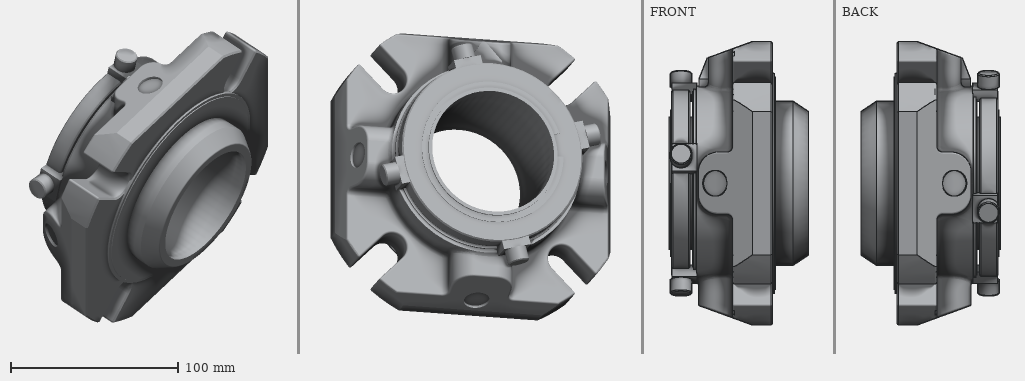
import cadquery as cq
import math

TOTAL_LENGTH = 83.5
QUARTER_TURNS = (0, 90, 180, 270)
DIAGONAL_ANGLE = 45

FLANGE_WIDTH = 169.5
FLANGE_CORNER_RADIUS = 94.9
FLANGE_FRONT_X = 38.1
FLANGE_BACK_X = 62.0
BEVEL_START_X = 50.0
BEVEL_ANGLE = 20
RIM_FILLET = 1.2
BACK_CHAMFER = 1.0

SLOT_HALF_WIDTH = 8.6
SLOT_CENTER_RADIUS = 73.9
SLOT_MOUTH_FILLET = 1.2

BOSS_HALF_WIDTH = 18.6
BOSS_FRONT_X = 17.6
BOSS_CORNER_RADIUS = 11.9
TOP_BOSS_FRONT_X = 23.5
TOP_BOSS_CORNER_RADIUS = 8.5
BOSS_ROOT_FILLET = 3.5
BOSS_INNER_RADIUS = 47.5
PORT_DIAMETER = 15.5
PORT_DEPTH = 1.7
SIDE_PORT_X = 27.5
END_PORT_X = 40.3

HOUSING_RADIUS = 58.3
HOUSING_FRONT_X = 16.6
HOUSING_ROOT_FILLET = 2.5
NECK_RADIUS = 112.7 / 2
NECK_FRONT_X = 14.7
NECK_BACK_X = 16.1
NECK_STEP_RADIUS = 54.7
NECK_STEP_FRONT_X = 14.2
PILOT_RADIUS = 131.5 / 2
PILOT_BACK_X = 63.2
SPIGOT_RADIUS = 127 / 2
SPIGOT_BACK_X = 63.7
HUB_RADIUS = 98.1 / 2
HUB_CONE_X = 74.2
HUB_END_RADIUS = 42.9
HUB_END_FILLET = 1.0
SLEEVE_RADIUS = 79.3 / 2
BORE_RADIUS = 75.0 / 2

CLAMP_RADIUS = 111.1 / 2
CLAMP_FRONT_X = 1.5
CLAMP_BACK_X = 12.7
CLAMP_CHAMFER = 0.8
SNAP_RING_RADIUS = 87.3 / 2
SNAP_RING_FRONT_X = 1.0
SNAP_RING_GAP_ANGLE = 19.5

CLIP_ANGLE = 15
CLIP_WIDTH = 17
CLIP_FRONT_X = 1.9
CLIP_BACK_X = 16.8
CLIP_INNER_RADIUS = 52.7
CLIP_OUTER_RADIUS = 59.8
SCREW_DIAMETER = 13.0
SCREW_X = 7.3
SCREW_TOP_RADIUS = 68.3
SCREW_CHAMFER = 0.7

PLAQUE_HALF_WIDTH = 9.8
PLAQUE_APEX_Z = 74.9
PLAQUE_SHOULDER_Z = 62.3
PLAQUE_FRONT_X = 18.0
PLAQUE_APEX_X = 22.9
PLAQUE_APEX_HALF_WIDTH = 1.0
PLAQUE_BASE_Z = 55.9

SMALL_OVERLAP = 0.8
TOLERANCE = 0.02


def disc(radius, front_x, back_x):
    return cq.Workplane("YZ", origin=(front_x, 0, 0)).circle(radius).extrude(back_x - front_x)


def about_axis(shape, angle):
    return shape.rotate((0, 0, 0), (1, 0, 0), angle)


def bevel_radius(x):
    """Distance from the axis to the bevelled flat at position x."""
    return FLANGE_WIDTH / 2 - (BEVEL_START_X - x) * math.tan(math.radians(BEVEL_ANGLE))


def boss(front_x, corner_radius):
    """Boss pointing to +Z, with its concave roots blending into the flange face."""
    diagonal = 1 / math.sqrt(2)
    wall = BOSS_HALF_WIDTH
    root = wall + BOSS_ROOT_FILLET
    root_x = FLANGE_FRONT_X - BOSS_ROOT_FILLET
    root_mid_x = FLANGE_FRONT_X - BOSS_ROOT_FILLET * (1 - diagonal)
    root_mid_y = root - BOSS_ROOT_FILLET * diagonal
    corner_x = front_x + corner_radius
    corner_y = wall - corner_radius
    mid_x = corner_x - corner_radius * diagonal
    mid_y = corner_y + corner_radius * diagonal
    back_x = FLANGE_FRONT_X + SMALL_OVERLAP
    return (
        cq.Workplane("XY", origin=(0, 0, BOSS_INNER_RADIUS))
        .moveTo(back_x, -root)
        .lineTo(FLANGE_FRONT_X, -root)
        .threePointArc((root_mid_x, -root_mid_y), (root_x, -wall))
        .lineTo(corner_x, -wall)
        .threePointArc((mid_x, -mid_y), (front_x, -corner_y))
        .lineTo(front_x, corner_y)
        .threePointArc((mid_x, mid_y), (corner_x, wall))
        .lineTo(root_x, wall)
        .threePointArc((root_mid_x, root_mid_y), (FLANGE_FRONT_X, root))
        .lineTo(back_x, root)
        .close()
        .extrude(FLANGE_WIDTH / 2 - BOSS_INNER_RADIUS)
    )


def bevelled_envelope():
    """Square prism that narrows toward the front."""
    square = cq.Workplane("YZ", origin=(BEVEL_START_X, 0, 0)).rect(FLANGE_WIDTH, FLANGE_WIDTH)
    straight = square.extrude(FLANGE_BACK_X - BEVEL_START_X)
    tapered = (
        cq.Workplane("YZ", origin=(BEVEL_START_X, 0, 0))
        .rect(FLANGE_WIDTH, FLANGE_WIDTH)
        .extrude(-BEVEL_START_X, taper=BEVEL_ANGLE)
    )
    return straight.union(tapered).intersect(disc(FLANGE_CORNER_RADIUS, 0, FLANGE_BACK_X))


def slot():
    """Cutter for one open slot pointing to +Z."""
    length = FLANGE_CORNER_RADIUS
    flat_part = cq.Workplane("XY").box(
        FLANGE_BACK_X, 2 * SLOT_HALF_WIDTH, length, centered=(False, True, False)
    )
    round_end = disc(SLOT_HALF_WIDTH, 0, FLANGE_BACK_X)
    return flat_part.union(round_end).translate((0, 0, SLOT_CENTER_RADIUS))


def port(x):
    """Shallow round recess, square to the bevelled flat on the +Z side."""
    return (
        cq.Workplane("XY")
        .circle(PORT_DIAMETER / 2)
        .extrude(2 * PORT_DEPTH)
        .translate((0, 0, -PORT_DEPTH))
        .rotate((0, 0, 0), (0, 1, 0), -BEVEL_ANGLE)
        .translate((x, 0, bevel_radius(x)))
    )


def axis_distance(point):
    return math.hypot(point.y, point.z)


def sample_points(edge):
    return [edge.positionAt(t) for t in (0, 0.3, 0.7, 1)]


def is_housing_root(edge):
    """Edge where the round housing meets the flange face or a boss."""
    points = sample_points(edge)
    on_housing = all(abs(axis_distance(p) - HOUSING_RADIUS) < TOLERANCE for p in points)
    return on_housing and edge.Center().x > HOUSING_FRONT_X + TOLERANCE


def is_slot_mouth(edge):
    """Edge along X where a slot wall runs out at the flange corner."""
    ends = (edge.startPoint(), edge.endPoint())
    at_corner = all(abs(axis_distance(p) - FLANGE_CORNER_RADIUS) < TOLERANCE for p in ends)
    half_width = abs(abs(ends[0].y) - abs(ends[0].z)) / math.sqrt(2)
    along_x = abs(ends[0].y - ends[1].y) < TOLERANCE and abs(ends[0].z - ends[1].z) < TOLERANCE
    return at_corner and along_x and abs(half_width - SLOT_HALF_WIDTH) < TOLERANCE


def is_flange_back_rim(edge):
    return all(abs(p.x - FLANGE_BACK_X) < TOLERANCE for p in sample_points(edge))


def is_front_rim(edge):
    """Edge of the flange face, or of a boss, along a bevelled flat, a corner or a slot."""
    points = sample_points(edge)
    on_face = all(abs(p.x - FLANGE_FRONT_X) < TOLERANCE for p in points)
    outside_housing = all(axis_distance(p) > HOUSING_RADIUS + 2 * HOUSING_ROOT_FILLET for p in points)
    on_bevel = all(abs(max(abs(p.y), abs(p.z)) - bevel_radius(p.x)) < TOLERANCE for p in points)
    along_boss = on_bevel and max(p.x for p in points) < FLANGE_FRONT_X + TOLERANCE
    root = BOSS_HALF_WIDTH + BOSS_ROOT_FILLET
    is_boss_root = all(abs(min(abs(p.y), abs(p.z)) - root) < TOLERANCE for p in points)
    return outside_housing and (on_face or along_boss) and not is_boss_root


def edges_where(body, condition):
    return body.newObject([edge for edge in body.edges().vals() if condition(edge)])


def flange():
    """Bevelled square flange with bosses, slots, the round housing and the ports."""
    thickness = FLANGE_BACK_X - FLANGE_FRONT_X
    body = (
        cq.Workplane("YZ", origin=(FLANGE_FRONT_X, 0, 0))
        .rect(FLANGE_WIDTH, FLANGE_WIDTH)
        .extrude(thickness)
    )
    body = body.union(boss(TOP_BOSS_FRONT_X, TOP_BOSS_CORNER_RADIUS))
    for angle in QUARTER_TURNS[1:]:
        body = body.union(about_axis(boss(BOSS_FRONT_X, BOSS_CORNER_RADIUS), angle))
    body = body.intersect(bevelled_envelope())
    for angle in QUARTER_TURNS:
        body = body.cut(about_axis(slot(), angle + DIAGONAL_ANGLE))
    body = edges_where(body, is_slot_mouth).fillet(SLOT_MOUTH_FILLET)
    body = body.union(disc(HOUSING_RADIUS, HOUSING_FRONT_X, FLANGE_BACK_X))
    body = edges_where(body, is_housing_root).fillet(HOUSING_ROOT_FILLET)
    body = edges_where(body, is_flange_back_rim).chamfer(BACK_CHAMFER)
    body = edges_where(body, is_front_rim).fillet(RIM_FILLET)
    side_port = port(SIDE_PORT_X)
    end_port = port(END_PORT_X)
    for angle in (0, 180):
        body = body.cut(about_axis(end_port, angle)).cut(about_axis(side_port, angle + 90))
    return body


def clip():
    """Setting clip and cap screw pointing to +Z."""
    block = cq.Workplane("XY").box(
        CLIP_BACK_X - CLIP_FRONT_X,
        CLIP_WIDTH,
        CLIP_OUTER_RADIUS - CLIP_INNER_RADIUS,
        centered=(False, True, False),
    ).translate((CLIP_FRONT_X, 0, CLIP_INNER_RADIUS))
    screw = (
        cq.Workplane("XY", origin=(SCREW_X, 0, CLIP_OUTER_RADIUS))
        .circle(SCREW_DIAMETER / 2)
        .extrude(SCREW_TOP_RADIUS - CLIP_OUTER_RADIUS)
        .faces(">Z")
        .chamfer(SCREW_CHAMFER)
    )
    return block.union(screw)


def plaque():
    """Triangular wedge that leans back onto the front of the top boss."""
    triangle = (
        cq.Workplane("YZ")
        .moveTo(-PLAQUE_HALF_WIDTH, PLAQUE_BASE_Z)
        .lineTo(PLAQUE_HALF_WIDTH, PLAQUE_BASE_Z)
        .lineTo(PLAQUE_HALF_WIDTH, PLAQUE_SHOULDER_Z)
        .lineTo(PLAQUE_APEX_HALF_WIDTH, PLAQUE_APEX_Z)
        .lineTo(-PLAQUE_APEX_HALF_WIDTH, PLAQUE_APEX_Z)
        .lineTo(-PLAQUE_HALF_WIDTH, PLAQUE_SHOULDER_Z)
        .close()
        .extrude(TOP_BOSS_FRONT_X + SMALL_OVERLAP)
    )
    leaning_profile = (
        cq.Workplane("XZ", origin=(0, PLAQUE_HALF_WIDTH, 0))
        .moveTo(PLAQUE_FRONT_X, PLAQUE_BASE_Z)
        .lineTo(PLAQUE_FRONT_X, PLAQUE_SHOULDER_Z)
        .lineTo(PLAQUE_APEX_X, PLAQUE_APEX_Z)
        .lineTo(TOP_BOSS_FRONT_X + SMALL_OVERLAP, PLAQUE_APEX_Z)
        .lineTo(TOP_BOSS_FRONT_X + SMALL_OVERLAP, PLAQUE_BASE_Z)
        .close()
        .extrude(2 * PLAQUE_HALF_WIDTH)
    )
    return triangle.intersect(leaning_profile)


def hub():
    """Rear pilot steps and the hub with its tapered end."""
    body = (
        cq.Workplane("XY")
        .moveTo(FLANGE_BACK_X - SMALL_OVERLAP, 0)
        .lineTo(FLANGE_BACK_X - SMALL_OVERLAP, PILOT_RADIUS)
        .lineTo(PILOT_BACK_X, PILOT_RADIUS)
        .lineTo(PILOT_BACK_X, SPIGOT_RADIUS)
        .lineTo(SPIGOT_BACK_X, SPIGOT_RADIUS)
        .lineTo(SPIGOT_BACK_X, HUB_RADIUS)
        .lineTo(HUB_CONE_X, HUB_RADIUS)
        .lineTo(TOTAL_LENGTH, HUB_END_RADIUS)
        .lineTo(TOTAL_LENGTH, 0)
        .close()
        .revolve(360, (0, 0, 0), (1, 0, 0))
    )
    return body.faces(">X").edges().fillet(HUB_END_FILLET)


def snap_ring():
    """Snap ring lying on the clamp ring, open by a wedge on the -Y side."""
    reach = 2 * SNAP_RING_RADIUS
    gap = (
        cq.Workplane("YZ")
        .lineTo(-reach, 0)
        .lineTo(-reach, reach * math.tan(math.radians(SNAP_RING_GAP_ANGLE)))
        .close()
        .extrude(CLAMP_BACK_X)
    )
    return disc(SNAP_RING_RADIUS, SNAP_RING_FRONT_X, CLAMP_FRONT_X + SMALL_OVERLAP).cut(gap)


def clamp_ring():
    ring = disc(CLAMP_RADIUS, CLAMP_FRONT_X, CLAMP_BACK_X).faces("|X").chamfer(CLAMP_CHAMFER)
    return ring.union(snap_ring())


def neck():
    """Stepped neck between the clamp ring and the housing."""
    step = disc(NECK_STEP_RADIUS, NECK_STEP_FRONT_X, FLANGE_FRONT_X)
    return step.union(disc(NECK_RADIUS, NECK_FRONT_X, NECK_BACK_X))


result = flange()
result = result.union(plaque())
result = result.union(hub())
result = result.union(neck())
result = result.union(clamp_ring())
result = result.union(disc(SLEEVE_RADIUS, 0, TOTAL_LENGTH - HUB_END_FILLET))
for quarter_turn in QUARTER_TURNS:
    result = result.union(about_axis(clip(), quarter_turn - CLIP_ANGLE))
result = result.cut(disc(BORE_RADIUS, 0, TOTAL_LENGTH))
result = result.solids()